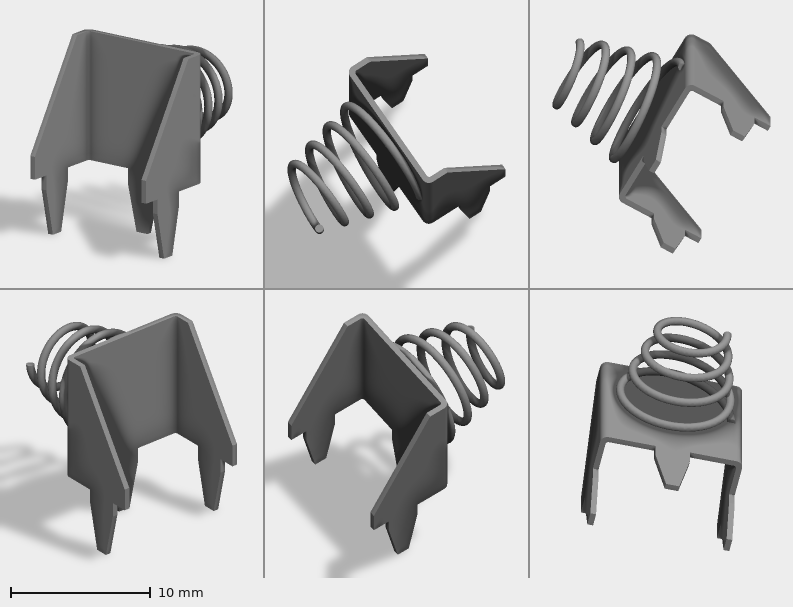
import cadquery as cq
import math

overall_depth = 14.40
spring_reach = 7.63

bracket_width = 10.41
bracket_depth = overall_depth - spring_reach
panel_height = 9.62
sheet = 0.42
bend_inner_radius = 0.2
bend_outer_radius = 0.53

wing_top_depth = 1.78
wing_nose_height = 1.7

pin_length = 4.6
pin_straight_length = 1.1
pin_width = 2.54
pin_tip_width = 0.98
wing_pin_center = 4.16

wire_diameter = 0.6
spring_turns = 4
spring_height = spring_reach - wire_diameter / 2
spring_base_radius = 4.3
spring_cone_angle = 15.0
spring_axis_z = panel_height / 2
spring_slant_height = spring_height / math.cos(math.radians(spring_cone_angle))

half_width = bracket_width / 2
wing_inner_x = half_width - sheet


def make_rounded_block(width, back_y, bend_radius):
    """Block from the wing fronts to back_y, with both rear vertical edges rounded."""
    length = back_y + bracket_depth
    return (
        cq.Workplane("XY")
        .center(0, back_y - length / 2)
        .rect(width, length)
        .extrude(panel_height)
        .edges("|Z and >Y")
        .fillet(bend_radius)
    )


def make_channel():
    """U-shaped sheet with rounded bends, open toward -Y."""
    outer = make_rounded_block(bracket_width, 0, bend_outer_radius)
    inner = make_rounded_block(2 * wing_inner_x, -sheet, bend_inner_radius)
    return outer.cut(inner)


def make_slope_cutter():
    """Triangular prism that slopes the front edges of both wings."""
    return (
        cq.Workplane("YZ")
        .moveTo(-wing_top_depth, panel_height)
        .lineTo(-bracket_depth, panel_height)
        .lineTo(-bracket_depth, wing_nose_height)
        .close()
        .extrude(half_width, both=True)
    )


def make_pin(plane, center):
    """Tapered pin one sheet thick, hanging below Z = 0."""
    outline = [
        (center - pin_width / 2, 0),
        (center - pin_width / 2, -pin_straight_length),
        (center - pin_tip_width / 2, -pin_length),
        (center + pin_tip_width / 2, -pin_length),
        (center + pin_width / 2, -pin_straight_length),
        (center + pin_width / 2, 0),
    ]
    return cq.Workplane(plane).polyline(outline).close().extrude(sheet)


def make_spring():
    """Round wire swept along a right-handed helix that narrows toward +Y."""
    base = cq.Plane(origin=(0, 0, spring_axis_z), xDir=(-1, 0, 0), normal=(0, 1, 0))
    helix = cq.Wire.makeHelix(
        spring_slant_height / spring_turns,
        spring_slant_height,
        spring_base_radius,
        angle=-spring_cone_angle,
    )
    wire = (
        cq.Workplane("XZ")
        .center(spring_base_radius, 0)
        .circle(wire_diameter / 2)
        .sweep(cq.Workplane(helix), isFrenet=True)
    )
    return cq.Workplane(wire.val().moved(cq.Location(base)))


bracket = make_channel().cut(make_slope_cutter())
bracket = bracket.union(make_pin("XZ", 0))
for wing_start_x in (-half_width, wing_inner_x):
    wing_pin = make_pin("YZ", -wing_pin_center).translate((wing_start_x, 0, 0))
    bracket = bracket.union(wing_pin)

result = bracket.union(make_spring())